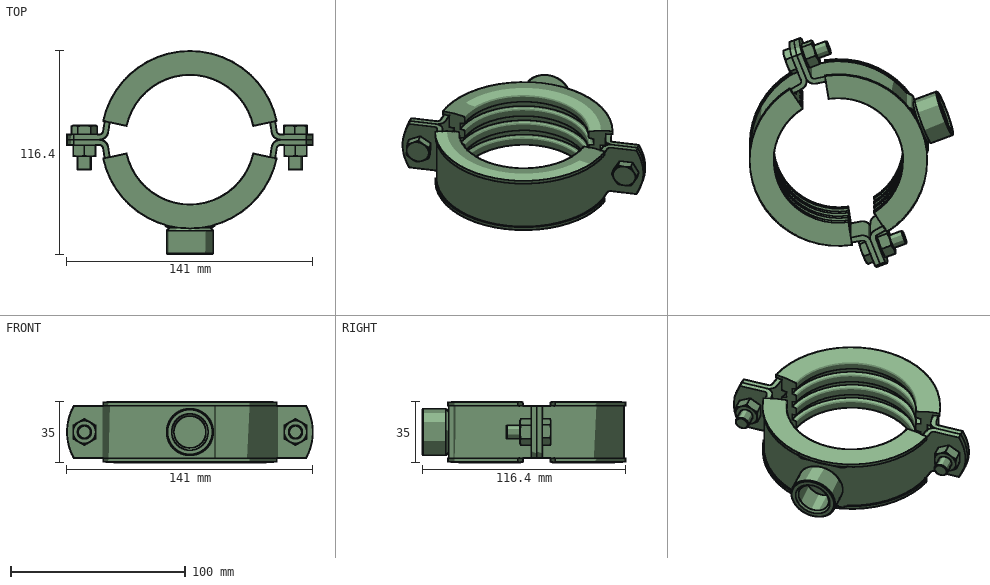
import cadquery as cq
import math


strap_thickness = 3.1
strap_height = 30.0
strap_outer_radius = 50.0
strap_inner_radius = strap_outer_radius - strap_thickness
bend_radius = 2.0
ear_tip_x = 70.5
ear_corner_x = 66.5

pad_face = 50.5
pad_flat_half_width = 11.3
pad_corner_radius = 3.8
pad_root_radius = 0.5

liner_outer_radius = 50.9
liner_bore_radius = 37.1
liner_crest_radius = 44.1
liner_height = 35.0
liner_crest_z = liner_height / 2
liner_rim_z = 17.0
liner_end_angle = 12.2
rib_round = 1.1
rib_pitch = 9.9
inner_notch_count = 3
inner_notch_floor_radius = 40.0
inner_notch_top = 12.7
inner_notch_width = 5.0
outer_groove_count = 2
outer_groove_floor_radius = 43.9
outer_groove_top = 7.2
outer_groove_width = 5.5
notch_taper = 1.4

socket_outer_radius = 13.4
socket_bore_radius = 9.2
socket_end_y = 65.5
socket_body_y = 52.0
socket_foot_radius = 11.8
socket_edge_chamfer = 0.5
socket_lead_in = 1.3

bolt_x = 60.5
shank_radius = 4.0
shank_end_y = -17.3
shank_chamfer = 0.4
hex_across_flats = 13.0
hex_corner_chamfer = 0.5
head_height = 5.1
nut_height = 6.5
left_head_turn = 0.0
right_head_turn = 27.0
nut_turn = 30.0


def polar(center, radius, angle):
    """Point at a given radius and angle (radians) around a centre."""
    return (center[0] + radius * math.cos(angle), center[1] + radius * math.sin(angle))


def flip_x(point):
    return (-point[0], point[1])


def strap_half():
    """Half ring with a bent-out ear at each end, on the +Y side."""
    bend_center_y = strap_thickness + bend_radius
    bend_center_distance = strap_outer_radius + bend_radius
    bend_center_x = math.sqrt(bend_center_distance**2 - bend_center_y**2)
    bend_center = (bend_center_x, bend_center_y)
    bend_angle = math.atan2(bend_center_y, bend_center_x)
    bend_middle_angle = (math.pi + bend_angle + 1.5 * math.pi) / 2
    bend_back_radius = bend_radius + strap_thickness

    inner_tangent = polar((0, 0), strap_inner_radius, bend_angle)
    outer_tangent = polar((0, 0), strap_outer_radius, bend_angle)
    bend_back_middle = polar(bend_center, bend_back_radius, bend_middle_angle)
    bend_front_middle = polar(bend_center, bend_radius, bend_middle_angle)
    ear_back = (bend_center_x, 0)
    ear_front = (bend_center_x, strap_thickness)

    band = (
        cq.Workplane("XY")
        .moveTo(-ear_tip_x, 0)
        .lineTo(*flip_x(ear_back))
        .threePointArc(flip_x(bend_back_middle), flip_x(inner_tangent))
        .threePointArc((0, strap_inner_radius), inner_tangent)
        .threePointArc(bend_back_middle, ear_back)
        .lineTo(ear_tip_x, 0)
        .lineTo(ear_tip_x, strap_thickness)
        .lineTo(*ear_front)
        .threePointArc(bend_front_middle, outer_tangent)
        .threePointArc((0, strap_outer_radius), flip_x(outer_tangent))
        .threePointArc(flip_x(bend_front_middle), flip_x(ear_front))
        .lineTo(-ear_tip_x, strap_thickness)
        .close()
        .extrude(strap_height / 2, both=True)
    )
    return band.intersect(ear_silhouette()).cut(bolt_holes())


def ear_silhouette():
    """Strip in the XZ plane with bowed ends, which rounds the ear tips."""
    half_height = strap_height / 2
    return (
        cq.Workplane("XZ")
        .moveTo(-ear_corner_x, -half_height)
        .lineTo(ear_corner_x, -half_height)
        .threePointArc((ear_tip_x, 0), (ear_corner_x, half_height))
        .lineTo(-ear_corner_x, half_height)
        .threePointArc((-ear_tip_x, 0), (-ear_corner_x, -half_height))
        .close()
        .extrude(2 * strap_outer_radius, both=True)
    )


def bolt_holes():
    return (
        cq.Workplane("XZ")
        .pushPoints([(-bolt_x, 0), (bolt_x, 0)])
        .circle(shank_radius)
        .extrude(2 * strap_thickness, both=True)
    )


def socket_pad():
    """Flat pad with rounded corners, backed by the inner curve of the strap."""
    half_width = pad_flat_half_width + pad_corner_radius
    depth = pad_face / 2
    block = (
        cq.Workplane("XY")
        .box(2 * half_width, depth, strap_height)
        .translate((0, depth / 2 - pad_face, 0))
        .edges("|Z and <Y")
        .fillet(pad_corner_radius)
    )
    ring_space = cq.Workplane("XY").circle(strap_inner_radius).extrude(strap_height, both=True)
    return block.cut(ring_space)


def front_strap_half():
    """Strap half on the -Y side, with the pad blended into its ring."""
    strap = strap_half().mirror("XZ").union(socket_pad())
    root_x = pad_flat_half_width + pad_corner_radius
    root_y = -math.sqrt(strap_outer_radius**2 - root_x**2)
    for x in (-root_x, root_x):
        root_edge = cq.selectors.NearestToPointSelector((x, root_y, 0))
        strap = strap.edges("|Z").edges(root_edge).fillet(pad_root_radius)
    return strap


def inner_notch(top):
    """Notch between two ribs: sloped upper wall, square lower wall with a rounded lip."""
    bottom = top - inner_notch_width
    round_start = (liner_bore_radius + rib_round, bottom)
    round_middle = polar((round_start[0], bottom - rib_round), rib_round, 0.75 * math.pi)
    round_end = (liner_bore_radius, bottom - rib_round)
    inside = liner_bore_radius - rib_round
    return (
        cq.Workplane("XZ")
        .moveTo(inside, top)
        .lineTo(liner_bore_radius, top)
        .lineTo(inner_notch_floor_radius, top - notch_taper)
        .lineTo(inner_notch_floor_radius, bottom)
        .lineTo(*round_start)
        .threePointArc(round_middle, round_end)
        .lineTo(inside, round_end[1])
        .close()
        .revolve(360, (0, 0, 0), (0, 1, 0))
    )


def outer_groove(top):
    """Groove in the liner's back: square upper wall and sloped lower wall."""
    bottom = top - outer_groove_width
    return (
        cq.Workplane("XZ")
        .moveTo(outer_groove_floor_radius, top)
        .lineTo(strap_inner_radius, top)
        .lineTo(strap_inner_radius, bottom)
        .lineTo(outer_groove_floor_radius, bottom + notch_taper)
        .close()
        .revolve(360, (0, 0, 0), (0, 1, 0))
    )


def liner_half():
    """Liner segment on the +Y side, with lips over both strap edges."""
    lip_z = strap_height / 2
    top_round_center = (liner_bore_radius + rib_round, liner_rim_z - rib_round)
    liner = (
        cq.Workplane("XZ")
        .moveTo(liner_bore_radius, -liner_rim_z)
        .lineTo(liner_crest_radius, -liner_crest_z)
        .lineTo(liner_outer_radius, -liner_rim_z)
        .lineTo(liner_outer_radius, -lip_z)
        .lineTo(strap_inner_radius, -lip_z)
        .lineTo(strap_inner_radius, lip_z)
        .lineTo(liner_outer_radius, lip_z)
        .lineTo(liner_outer_radius, liner_rim_z)
        .lineTo(liner_crest_radius, liner_crest_z)
        .lineTo(liner_bore_radius + rib_round, liner_rim_z)
        .threePointArc(
            polar(top_round_center, rib_round, 0.75 * math.pi),
            (liner_bore_radius, liner_rim_z - rib_round),
        )
        .close()
        .revolve(180 - 2 * liner_end_angle, (0, 0, 0), (0, 1, 0))
        .rotate((0, 0, 0), (0, 0, 1), liner_end_angle)
    )
    for index in range(inner_notch_count):
        liner = liner.cut(inner_notch(inner_notch_top - index * rib_pitch))
    for index in range(outer_groove_count):
        liner = liner.cut(outer_groove(outer_groove_top - index * rib_pitch))
    return liner


def threaded_socket():
    """Sleeve welded to the pad by a bevelled foot, opening toward -Y."""
    return (
        cq.Workplane("XY")
        .polyline([
            (socket_bore_radius, -pad_face),
            (socket_foot_radius, -pad_face),
            (socket_outer_radius, -socket_body_y),
            (socket_outer_radius, -socket_end_y + socket_edge_chamfer),
            (socket_outer_radius - socket_edge_chamfer, -socket_end_y),
            (socket_bore_radius + socket_lead_in, -socket_end_y),
            (socket_bore_radius, -socket_end_y + socket_lead_in),
        ])
        .close()
        .revolve(360, (0, 0, 0), (0, 1, 0))
    )


def hex_block(height):
    """Hexagon along Z with one corner on X; the corners of its top face are bevelled."""
    across_corners = hex_across_flats / math.cos(math.pi / 6)
    hexagon = cq.Workplane("XY").polygon(6, across_corners).extrude(height)
    bevel_envelope = (
        cq.Workplane("XY")
        .circle(across_corners / 2)
        .extrude(height)
        .faces(">Z")
        .chamfer(hex_corner_chamfer, (across_corners - hex_across_flats) / 2)
    )
    return hexagon.intersect(bevel_envelope)


def clamp_bolt(side, head_turn):
    """Hex bolt whose head rests on the +Y ear and whose shank points toward -Y."""
    head = (
        hex_block(head_height)
        .rotate((0, 0, 0), (0, 0, 1), head_turn)
        .rotate((0, 0, 0), (1, 0, 0), -90)
        .translate((0, strap_thickness, 0))
    )
    shank = (
        cq.Workplane("XZ", origin=(0, strap_thickness, 0))
        .circle(shank_radius)
        .extrude(strap_thickness - shank_end_y)
        .faces("<Y")
        .chamfer(shank_chamfer)
    )
    return head.union(shank).translate((side * bolt_x, 0, 0))


def clamp_nut(side):
    """Hex nut against the -Y ear, with two flats facing along X."""
    hole = cq.Workplane("XY").circle(shank_radius).extrude(nut_height)
    return (
        hex_block(nut_height)
        .cut(hole)
        .rotate((0, 0, 0), (0, 0, 1), nut_turn)
        .rotate((0, 0, 0), (1, 0, 0), 90)
        .translate((side * bolt_x, -strap_thickness, 0))
    )


rear_strap = strap_half()
front_strap = front_strap_half()
rear_liner = liner_half()
front_liner = rear_liner.mirror("XZ")
socket = threaded_socket()

fasteners = []
for side, head_turn in ((-1, left_head_turn), (1, right_head_turn)):
    fasteners.append(clamp_bolt(side, head_turn).val())
    fasteners.append(clamp_nut(side).val())

result = cq.Compound.makeCompound([
    rear_strap.val(),
    front_strap.val(),
    rear_liner.val(),
    front_liner.val(),
    socket.val(),
    *fasteners,
])